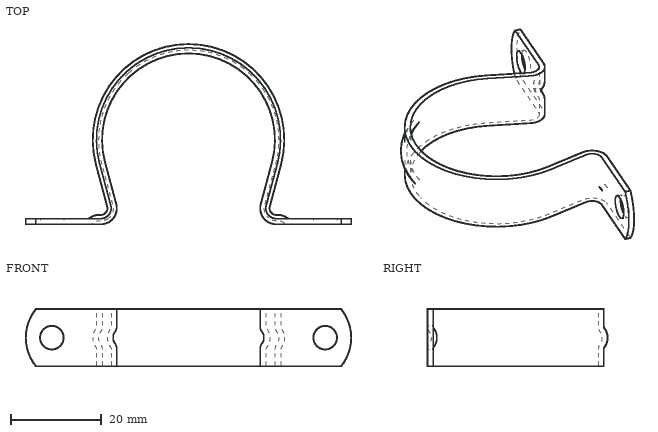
import cadquery as cq
import math


overall_length = 71.87
overall_depth = 39.83
strip_width = 12.7
strip_thickness = 1.27
loop_inner_radius = 19.05
leg_angle = math.radians(15)
bend_radius = 3.56

hole_spacing = 60.325
hole_diameter = 5.16
flange_end_radius = 10.0

bead_width = 5.0
bead_height = 0.85
bead_root_radius = 0.7
bead_run_past_bend = 0.4

loop_center_y = overall_depth - loop_inner_radius - strip_thickness - bead_height
bend_drop = loop_center_y - bend_radius
bend_center_x = (loop_inner_radius + bend_radius - bend_drop * math.sin(leg_angle)) / math.cos(leg_angle)

bead_end_x = bend_center_x + bead_run_past_bend
flange_tip_x = overall_length / 2

half_bead = bead_width / 2
bead_wall_angle = 2 * math.atan(bead_height / half_bead)
crown_radius = half_bead / math.sin(bead_wall_angle) - bead_root_radius
mid_arc_angle = bead_wall_angle / 2

groove_radius = crown_radius - strip_thickness
groove_root_radius = bead_root_radius + strip_thickness


def polar(center_x, center_y, radius, angle):
    """Point at an angle, counterclockwise from +X, on a circle."""
    return (center_x + radius * math.cos(angle), center_y + radius * math.sin(angle))


def strap_path(end_x):
    """Line of the strip's inner face from flange to flange, reaching end_x on both sides."""
    bend_mid_angle = (leg_angle - math.pi / 2) / 2
    bend_middle = polar(-bend_center_x, bend_radius, bend_radius, bend_mid_angle)
    leg_foot = polar(-bend_center_x, bend_radius, bend_radius, leg_angle)
    leg_top = polar(0, loop_center_y, loop_inner_radius, math.pi + leg_angle)
    loop_crest = (0, loop_center_y + loop_inner_radius)

    def mirrored(point):
        return (-point[0], point[1])

    return (
        cq.Workplane("XY")
        .moveTo(-end_x, 0)
        .lineTo(-bend_center_x, 0)
        .threePointArc(bend_middle, leg_foot)
        .lineTo(*leg_top)
        .threePointArc(loop_crest, mirrored(leg_top))
        .lineTo(*mirrored(leg_foot))
        .threePointArc(mirrored(bend_middle), (bend_center_x, 0))
        .lineTo(end_x, 0)
    )


def crown_point(radius, angle):
    """Point (height, offset) on a bead crown arc, the angle measured from the crest."""
    center_height = strip_thickness + bead_height - crown_radius
    return (center_height + radius * math.cos(angle), radius * math.sin(angle))


def root_point(radius, angle):
    """Point (height, offset) on a bead root arc, the angle measured from its flat end."""
    center_height = strip_thickness + bead_root_radius
    return (center_height - radius * math.cos(angle), half_bead - radius * math.sin(angle))


def flipped(point):
    """Section point carried to the other side of the bead's centre line."""
    return (point[0], -point[1])


def beaded_section(plane):
    """Cross-section of the strip: flat margins either side of a wall arched off the inner face."""
    half_width = strip_width / 2
    outer_mid = root_point(bead_root_radius, mid_arc_angle)
    outer_join = crown_point(crown_radius, bead_wall_angle)
    inner_mid = root_point(groove_root_radius, mid_arc_angle)
    inner_join = crown_point(groove_radius, bead_wall_angle)
    return (
        plane.moveTo(strip_thickness, half_width)
        .lineTo(strip_thickness, half_bead)
        .threePointArc(outer_mid, outer_join)
        .threePointArc(crown_point(crown_radius, 0), flipped(outer_join))
        .threePointArc(flipped(outer_mid), (strip_thickness, -half_bead))
        .lineTo(strip_thickness, -half_width)
        .lineTo(0, -half_width)
        .lineTo(0, -half_bead)
        .threePointArc(flipped(inner_mid), flipped(inner_join))
        .threePointArc(crown_point(groove_radius, 0), inner_join)
        .threePointArc(inner_mid, (0, half_bead))
        .lineTo(0, half_width)
        .close()
    )


def half_turned(half_section, x):
    """Rounded bead end: a half section turned half a circle about its centre line at x."""
    outward = math.copysign(1, x)
    return half_section.revolve(180, (0, 0), (outward, 0))


def footprint_cap(x):
    """Flat half disc that closes the bead's footprint in a flange."""
    half_section = cq.Workplane("YZ", origin=(x, 0, 0)).rect(strip_thickness, half_bead, centered=False)
    return half_turned(half_section, x)


def bead_cap(x):
    """Domed bead end with the same wall as the bead itself."""
    half_section = (
        cq.Workplane("YZ", origin=(x, 0, 0))
        .moveTo(*crown_point(groove_radius, 0))
        .lineTo(*crown_point(crown_radius, 0))
        .threePointArc(crown_point(crown_radius, mid_arc_angle), crown_point(crown_radius, bead_wall_angle))
        .threePointArc(root_point(bead_root_radius, mid_arc_angle), (strip_thickness, half_bead))
        .lineTo(0, half_bead)
        .threePointArc(
            root_point(groove_root_radius, mid_arc_angle), crown_point(groove_radius, bead_wall_angle)
        )
        .threePointArc(crown_point(groove_radius, mid_arc_angle), crown_point(groove_radius, 0))
        .close()
    )
    return half_turned(half_section, x)


def flange(side):
    """Drilled, round-ended flange beyond the bead run; side is -1 for -X or 1 for +X."""
    half_width = strip_width / 2
    end_rise = flange_end_radius - math.sqrt(flange_end_radius**2 - half_width**2)
    root_x = side * bead_end_x
    tip_x = side * flange_tip_x
    corner_x = side * (flange_tip_x - end_rise)
    plate = (
        cq.Workplane("XZ")
        .moveTo(root_x, -half_width)
        .lineTo(corner_x, -half_width)
        .threePointArc((tip_x, 0), (corner_x, half_width))
        .lineTo(root_x, half_width)
        .close()
        .moveTo(side * hole_spacing / 2, 0)
        .circle(hole_diameter / 2)
        .extrude(-strip_thickness)
    )
    return plate.cut(footprint_cap(root_x)).union(bead_cap(root_x))


section_plane = cq.Workplane("YZ", origin=(-bead_end_x, 0, 0))
result = beaded_section(section_plane).sweep(strap_path(bead_end_x))
for side in (-1, 1):
    result = result.union(flange(side))